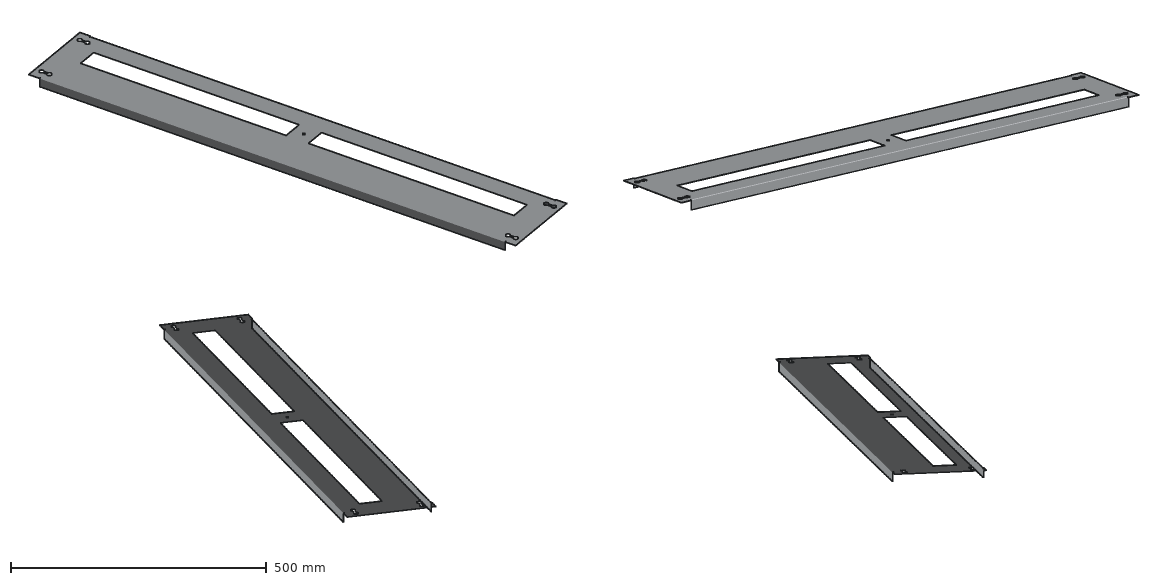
import cadquery as cq

length = 1138.0
width = 183.0
height = 20.0
sheet = 1.5
bend_radius = 3.0
end_tab = 25.0

window_length = 480.0
window_width = 47.0
web = 52.0
window_y = 22.0
centre_hole = 6.0

hole_diameter = 10.0
outer_hole_inset = 15.0
hole_spacing = 18.0
neck_width = 5.0
mount_y = 68.0

top = height / 2
underside = top - sheet


def channel():
    """Long folded section: flat top with a rounded flange down each side."""
    flange_length = length - 2 * end_tab
    outer = (
        cq.Workplane("XY")
        .box(flange_length, width, height)
        .edges("|X and >Z")
        .fillet(bend_radius)
    )
    inner = (
        cq.Workplane("XY")
        .box(flange_length, width - 2 * sheet, height)
        .edges("|X and >Z")
        .fillet(bend_radius - sheet)
        .translate((0, 0, -sheet))
    )
    return outer.cut(inner)


def end_plate(side):
    """Full-width flat tab at one end of the channel."""
    return (
        cq.Workplane("XY", origin=(side * (length - end_tab) / 2, 0, underside))
        .rect(end_tab, width)
        .extrude(sheet)
    )


def cutting_plane(x, y):
    return cq.Workplane("XY", origin=(x, y, underside))


def mounting_opening(x_side, y_side):
    outer_x = x_side * (length / 2 - outer_hole_inset)
    inner_x = outer_x - x_side * hole_spacing
    y = y_side * mount_y
    opening = cutting_plane((outer_x + inner_x) / 2, y).rect(hole_spacing, neck_width).extrude(sheet)
    for x in (outer_x, inner_x):
        opening = opening.union(cutting_plane(x, y).circle(hole_diameter / 2).extrude(sheet))
    return opening


result = channel()
for x_side in (-1, 1):
    result = result.union(end_plate(x_side))

for x_side in (-1, 1):
    window_x = x_side * (web + window_length) / 2
    window = cutting_plane(window_x, window_y).rect(window_length, window_width).extrude(sheet)
    result = result.cut(window)
    for y_side in (-1, 1):
        result = result.cut(mounting_opening(x_side, y_side))

result = result.cut(cutting_plane(0, window_y).circle(centre_hole / 2).extrude(sheet))